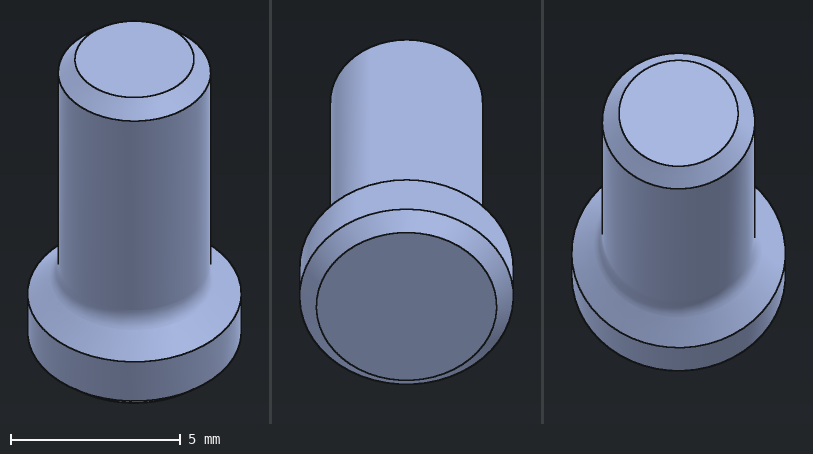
import cadquery as cq
import math

total_height = 11.0
head_diameter = 6.3
shank_diameter = 4.5

edge_chamfer = 0.5
head_top = 2.0
neck_radius = 0.8

head_radius = head_diameter / 2
shank_radius = shank_diameter / 2

cone_angle = math.radians(45)
cone_meets_shank = head_top + (head_radius - shank_radius) * math.tan(cone_angle)

turn_angle = math.pi / 2 - cone_angle
blend_top = cone_meets_shank + neck_radius * math.tan(turn_angle / 2)
blend_centre_radius = shank_radius + neck_radius


def blend_point(angle):
    """Point on the neck blend, at an angle below its upper end."""
    return (
        blend_centre_radius - neck_radius * math.cos(angle),
        blend_top - neck_radius * math.sin(angle),
    )


profile = (
    cq.Workplane("XZ")
    .moveTo(0, 0)
    .lineTo(head_radius - edge_chamfer, 0)
    .lineTo(head_radius, edge_chamfer)
    .lineTo(head_radius, head_top)
    .lineTo(*blend_point(turn_angle))
    .threePointArc(blend_point(turn_angle / 2), blend_point(0))
    .lineTo(shank_radius, total_height - edge_chamfer)
    .lineTo(shank_radius - edge_chamfer, total_height)
    .lineTo(0, total_height)
    .close()
)

result = profile.revolve(360, (0, 0), (0, 1)).rotate((0, 0, 0), (0, 0, 1), 180)